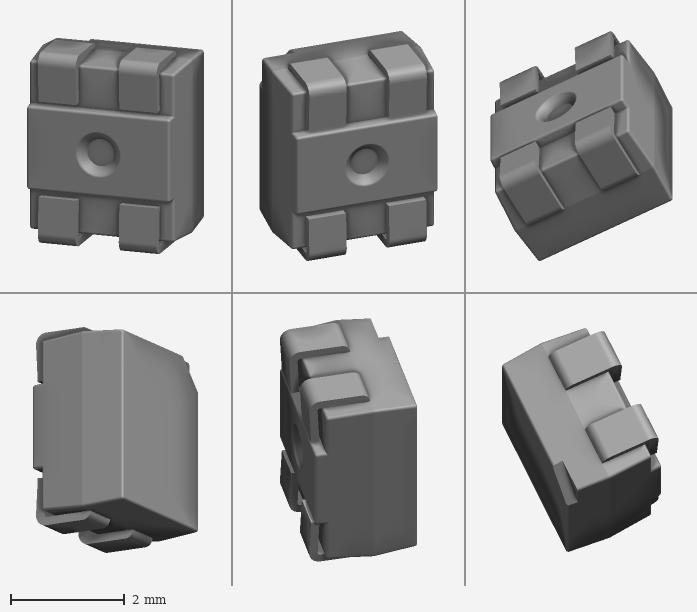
import cadquery as cq
import math


body_width = 2.8
body_height = 3.2
back_depth = 0.8
front_depth = 1.05
shoulder_depth = 0.85
pad_height = 1.55
draft_angle = 4.0
edge_radius = 0.05
search_margin = 0.035

recess_floor_diameter = 0.5
recess_rim_diameter = 0.8
recess_depth = 0.15

mark_leg = 0.62
mark_depth = 0.203

overall_height = 3.5
lead_front_depth = 1.1
lead_width = 0.7
lead_pitch = 1.5
lead_bend_radius = 0.2
lead_tip_height = 0.875
foot_angle = 3.0
lead_root_length = 0.175

lead_thickness = (overall_height - body_height) / 2
lead_inner_radius = lead_bend_radius - lead_thickness
draft_slope = math.tan(math.radians(draft_angle))


def drafted_block(depth):
    """Block from the parting plane towards -Y, narrowing with the draft."""
    return cq.Workplane("XZ").rect(body_width, body_height).extrude(depth, taper=draft_angle)


def back_half():
    """Plain half of the moulding, all edges rounded except at the parting plane."""
    block = drafted_block(back_depth)
    return block.edges("not >Y").fillet(edge_radius).mirror("XZ")


def shoulder_cutter(side):
    """Space in front of one shoulder; side is +1 for +Z, -1 for -Z."""
    pad_foot = side * pad_height / 2
    pad_rim = pad_foot - side * (front_depth - shoulder_depth) * draft_slope
    outside = side * body_height
    profile = [
        (-shoulder_depth, pad_foot),
        (-front_depth, pad_rim),
        (-front_depth, outside),
        (-shoulder_depth, outside),
    ]
    return cq.Workplane("YZ").polyline(profile).close().extrude(body_width, both=True)


def recess_cutter():
    profile = [
        (0, -front_depth),
        (recess_rim_diameter / 2, -front_depth),
        (recess_floor_diameter / 2, recess_depth - front_depth),
        (0, recess_depth - front_depth),
    ]
    return cq.Workplane("XY").polyline(profile).close().revolve(360, (0, 0), (0, 1))


def front_half():
    """Half with the raised pad; only its convex edges are rounded."""
    block = drafted_block(front_depth)
    for side in (1, -1):
        block = block.cut(shoulder_cutter(side))
    around_pad_foot = cq.selectors.BoxSelector(
        (-body_width, -shoulder_depth - search_margin, -pad_height / 2 - search_margin),
        (body_width, -shoulder_depth + search_margin, pad_height / 2 + search_margin),
    )
    pad_foot_edges = cq.selectors.StringSyntaxSelector("|X") & around_pad_foot
    convex_edges = cq.selectors.StringSyntaxSelector("not >Y") - pad_foot_edges
    block = block.edges(convex_edges).fillet(edge_radius)
    block = block.cut(recess_cutter())
    rim = cq.selectors.RadiusNthSelector(-1)
    return block.faces("<Y").edges("%CIRCLE").edges(rim).fillet(edge_radius)


def corner_mark_cutter():
    """Diagonal cut across the -X, +Z corner of the back face."""
    floor_y = back_depth - mark_depth
    corner_x = -body_width / 2 + floor_y * draft_slope
    corner_z = body_height / 2 - floor_y * draft_slope
    margin = mark_leg
    return (
        cq.Workplane("XZ", origin=(corner_x, floor_y, corner_z))
        .moveTo(mark_leg + margin, margin)
        .lineTo(-margin, margin)
        .lineTo(-margin, -mark_leg - margin)
        .close()
        .extrude(-2 * mark_depth)
    )


def lead(x_centre):
    """Upper lead: root in the body, bar along the side, bend, leaning foot."""
    top = overall_height / 2
    underside = top - lead_thickness
    lean = math.radians(foot_angle)
    half_bend = math.radians(90 + foot_angle) / 2
    bend_y = lead_bend_radius - lead_front_depth
    bend_z = top - lead_bend_radius

    def on_bend(radius, angle):
        """Point of the bend at an angle from straight up, turning towards -Y."""
        return bend_y - radius * math.sin(angle), bend_z + radius * math.cos(angle)

    outer_end = on_bend(lead_bend_radius, 2 * half_bend)
    inner_end = on_bend(lead_inner_radius, 2 * half_bend)
    foot_length = (outer_end[1] - lead_tip_height) / math.cos(lean)
    foot_step = (foot_length * math.sin(lean), -foot_length * math.cos(lean))
    outer_tip = (outer_end[0] + foot_step[0], outer_end[1] + foot_step[1])
    inner_tip = (inner_end[0] + foot_step[0], inner_end[1] + foot_step[1])
    root_z = underside - lead_root_length
    root_diagonal = lead_thickness * math.sqrt(0.5)

    return (
        cq.Workplane("YZ", origin=(x_centre, 0, 0))
        .moveTo(0, root_z)
        .lineTo(0, underside)
        .threePointArc(
            (root_diagonal - lead_thickness, underside + root_diagonal),
            (-lead_thickness, top),
        )
        .lineTo(bend_y, top)
        .threePointArc(on_bend(lead_bend_radius, half_bend), outer_end)
        .lineTo(*outer_tip)
        .lineTo(*inner_tip)
        .lineTo(*inner_end)
        .threePointArc(on_bend(lead_inner_radius, half_bend), (bend_y, underside))
        .lineTo(-lead_thickness, underside)
        .lineTo(-lead_thickness, root_z)
        .close()
        .extrude(lead_width / 2, both=True)
    )


result = front_half().union(back_half().cut(corner_mark_cutter()))
for x_centre in (-lead_pitch / 2, lead_pitch / 2):
    upper_lead = lead(x_centre)
    result = result.union(upper_lead).union(upper_lead.mirror("XY"))